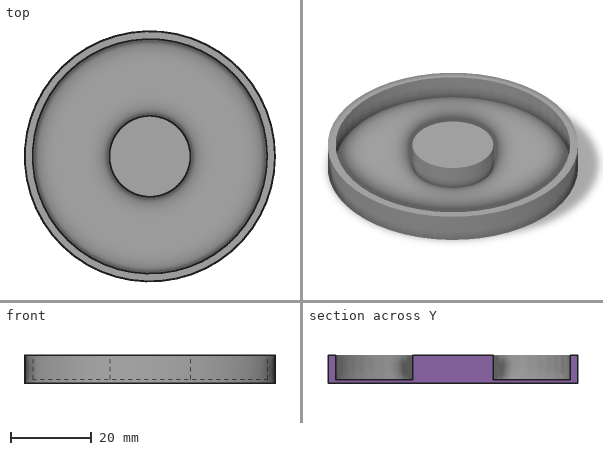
import cadquery as cq

outer_diameter = 61.92
inner_diameter = 58.0
boss_diameter = 20.0
total_height = 7.0
floor_thickness = 1.0

recess_depth = total_height - floor_thickness


def make_disc():
    """Solid round blank, centred on Z with its underside at Z = 0."""
    return cq.Workplane("XY").circle(outer_diameter / 2).extrude(total_height)


def make_ring_recess():
    """Ring-shaped recess between the rim and the central boss, open at the top."""
    return (
        cq.Workplane("XY")
        .workplane(offset=floor_thickness)
        .circle(inner_diameter / 2)
        .circle(boss_diameter / 2)
        .extrude(recess_depth)
    )


result = make_disc().cut(make_ring_recess())